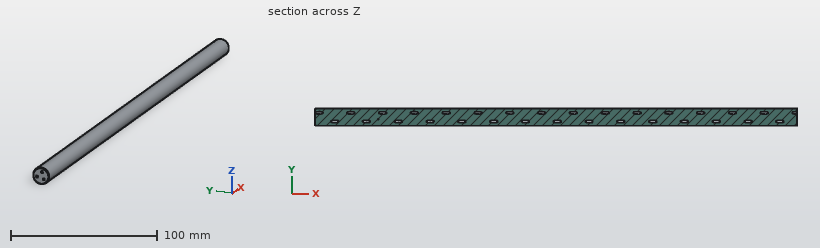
import cadquery as cq
import math

rod_length = 330.0
rod_diameter = 12.0
end_chamfer = 0.6

channel_count = 3
channel_diameter = 1.5
channel_circle_radius = 3.0
first_channel_angle = 105.0
helix_angle = 30.0

channel_pitch = math.pi * rod_diameter / math.tan(math.radians(helix_angle))
channel_twist = 360.0 * rod_length / channel_pitch


def make_rod():
    """Solid rod with its X = 0 end chamfered."""
    rod = cq.Workplane("YZ").circle(rod_diameter / 2).extrude(rod_length)
    return rod.faces("<X").chamfer(end_chamfer)


def make_channels():
    """Helical cores that run the full length of the rod."""
    return (
        cq.Workplane("YZ")
        .polarArray(channel_circle_radius, first_channel_angle, 360, channel_count)
        .circle(channel_diameter / 2)
        .twistExtrude(rod_length, channel_twist)
    )


result = make_rod().cut(make_channels())